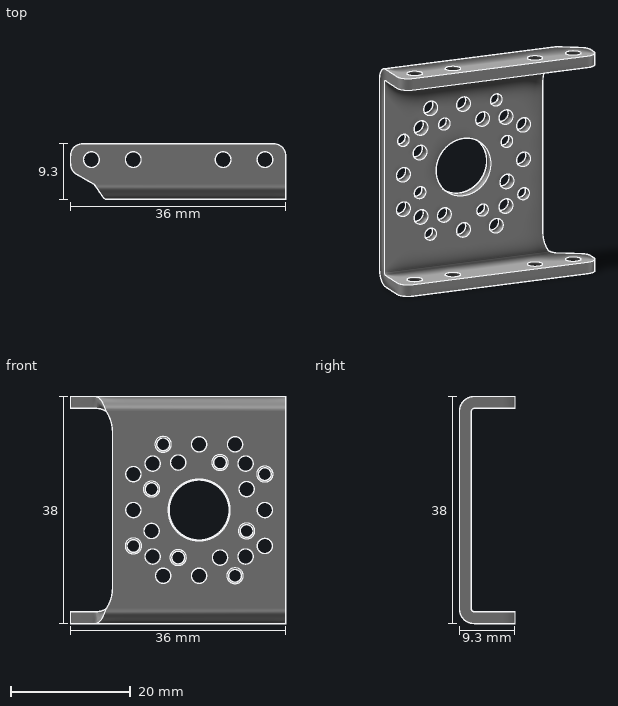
import cadquery as cq
import math

length = 36.0
depth = 9.3
height = 38.0
thickness = 2.0
outer_bend_radius = 2.5
inner_bend_radius = outer_bend_radius - thickness
half_height = height / 2
bend_line_z = half_height - outer_bend_radius

web_left = 7.0
relief_radius = 6.15
flange_slope = math.radians(30)
bend_length = 1.9
relief_end = relief_radius * math.cos(flange_slope)
relief_at_bend = relief_end - bend_length
bend_cut_steps = 6

corner_radius = 2.0
flange_hole_diameter = 2.6
flange_hole_inset = 2.65
flange_hole_xs = (3.5, 10.5, 25.5, 32.5)

pattern_x = (web_left + length) / 2
bore_diameter = 10.0
bore_chamfer = 0.2
clear_diameter = 2.5
thread_diameter = 2.1
thread_chamfer = 0.3
outer_offset = 11.0
outer_side_offset = 6.0
inner_offset = 7.95
inner_side_offset = 3.5
diagonal_offset = outer_offset * math.sqrt(0.5)


def relief_x(distance):
    """Edge position at a developed distance from where the relief curve starts."""
    return web_left - relief_radius + math.sqrt(relief_radius**2 - distance**2)


def make_web():
    relief_start_z = bend_line_z - relief_at_bend
    mid_distance = relief_at_bend / 2
    mid_z = relief_start_z + mid_distance
    edge_x = relief_x(relief_at_bend)
    return (
        cq.Workplane("XZ")
        .moveTo(length, -bend_line_z)
        .lineTo(length, bend_line_z)
        .lineTo(edge_x, bend_line_z)
        .threePointArc((relief_x(mid_distance), mid_z), (web_left, relief_start_z))
        .lineTo(web_left, -relief_start_z)
        .threePointArc((relief_x(mid_distance), -mid_z), (edge_x, -bend_line_z))
        .close()
        .extrude(-thickness)
    )


def make_flange():
    """Upper flange with its rounded corners and holes."""
    slope_start_x = corner_radius * (1 - math.sin(flange_slope))
    slope_end_x = relief_x(relief_end)
    slope_start_y = outer_bend_radius + (slope_end_x - slope_start_x) * math.tan(flange_slope)
    arc_center_y = slope_start_y + corner_radius * math.cos(flange_slope)
    arc_mid_angle = (math.pi / 2 - flange_slope) / 2
    arc_mid = (
        corner_radius * (1 - math.cos(arc_mid_angle)),
        arc_center_y - corner_radius * math.sin(arc_mid_angle),
    )
    plate = (
        cq.Workplane("XY", origin=(0, 0, half_height - thickness))
        .moveTo(length, outer_bend_radius)
        .lineTo(length, depth)
        .lineTo(0, depth)
        .lineTo(0, arc_center_y)
        .threePointArc(arc_mid, (slope_start_x, slope_start_y))
        .lineTo(slope_end_x, outer_bend_radius)
        .close()
        .extrude(thickness)
        .edges("|Z and >Y")
        .fillet(corner_radius)
    )
    holes = (
        cq.Workplane("XY", origin=(0, depth - flange_hole_inset, half_height - thickness))
        .pushPoints([(x, 0) for x in flange_hole_xs])
        .circle(flange_hole_diameter / 2)
        .extrude(thickness)
    )
    return plate.cut(holes)


def bend_section(fraction):
    """Radial slice of the material to remove at a fraction of the way round the bend."""
    angle = fraction * math.pi / 2
    edge_x = relief_x(relief_at_bend + fraction * bend_length)
    inner = inner_bend_radius / 2
    outer = outer_bend_radius * 1.5
    corners = [
        cq.Vector(
            x,
            outer_bend_radius - radius * math.cos(angle),
            bend_line_z + radius * math.sin(angle),
        )
        for x, radius in ((0, inner), (edge_x, inner), (edge_x, outer), (0, outer))
    ]
    return cq.Wire.makePolygon(corners, close=True)


def make_bend():
    """Upper quarter-round bend, trimmed along the developed relief curve."""
    diagonal = math.sqrt(0.5)
    bend = (
        cq.Workplane("YZ")
        .moveTo(0, bend_line_z)
        .threePointArc(
            (outer_bend_radius * (1 - diagonal), bend_line_z + outer_bend_radius * diagonal),
            (outer_bend_radius, half_height),
        )
        .lineTo(outer_bend_radius, half_height - thickness)
        .threePointArc(
            (
                outer_bend_radius - inner_bend_radius * diagonal,
                bend_line_z + inner_bend_radius * diagonal,
            ),
            (thickness, bend_line_z),
        )
        .close()
        .extrude(length)
    )
    sections = [bend_section(step / bend_cut_steps) for step in range(bend_cut_steps + 1)]
    return bend.cut(cq.Workplane(obj=cq.Solid.makeLoft(sections)))


def quarter_turns(x, z):
    """The point repeated every 90 degrees about the web centre."""
    return [(x, z), (z, -x), (-x, -z), (-z, x)]


def drill_web(body, points, diameter, chamfer=0):
    """Drill through the web, with an optional chamfer at the front face."""
    plane = cq.Workplane("XZ", origin=(pattern_x, 0, 0)).pushPoints(points)
    body = body.cut(plane.circle(diameter / 2).extrude(-thickness))
    if chamfer:
        cone = cq.Solid.makeCone(
            diameter / 2 + chamfer, diameter / 2, chamfer, dir=cq.Vector(0, 1, 0)
        )
        for x, z in points:
            body = body.cut(cq.Workplane(obj=cone.translate(cq.Vector(pattern_x + x, 0, z))))
    return body


end_parts = make_flange().union(make_bend())
result = make_web().union(end_parts).union(end_parts.mirror("XY"))

clear_points = (
    quarter_turns(0, outer_offset)
    + quarter_turns(outer_side_offset, outer_offset)
    + quarter_turns(diagonal_offset, diagonal_offset)
    + quarter_turns(-inner_side_offset, inner_offset)
)
thread_points = (
    quarter_turns(-outer_side_offset, outer_offset)
    + quarter_turns(inner_side_offset, inner_offset)
)
result = drill_web(result, [(0, 0)], bore_diameter, bore_chamfer)
result = drill_web(result, clear_points, clear_diameter)
result = drill_web(result, thread_points, thread_diameter, thread_chamfer)